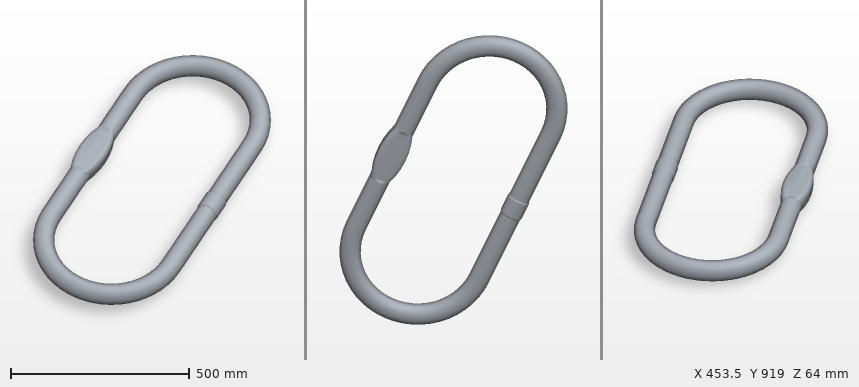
import cadquery as cq

loop_length = 919.0
loop_width = 440.0
tube_diameter = 60.0
tube_radius = tube_diameter / 2
bend_radius = (loop_width - tube_diameter) / 2
half_straight = (loop_length - loop_width) / 2

collar_diameter = 64.0
collar_length = 58.0
collar_taper_length = 4.0

grip_width = 83.0
grip_thickness = 52.0
grip_length = 167.0
grip_side_radius = 230.0
grip_edge_fillet = 14.0

flat_length = 153.0
flat_end_run = 8.0
flat_depth = tube_radius - grip_thickness / 2


def make_loop():
    """Sweep the round tube section along the stadium centreline."""
    path = (
        cq.Workplane("XY")
        .moveTo(bend_radius, -half_straight)
        .lineTo(bend_radius, half_straight)
        .threePointArc((0, half_straight + bend_radius), (-bend_radius, half_straight))
        .lineTo(-bend_radius, -half_straight)
        .threePointArc((0, -half_straight - bend_radius), (bend_radius, -half_straight))
        .close()
    )
    section = cq.Workplane("XZ", origin=(bend_radius, -half_straight, 0)).circle(tube_radius)
    return section.sweep(path)


def make_collar():
    """Raised ring with tapered ends that run down to the tube."""
    half_base = collar_length / 2
    half_crest = half_base - collar_taper_length
    outer_radius = collar_diameter / 2
    return (
        cq.Workplane("XY", origin=(bend_radius, 0, 0))
        .polyline(
            [
                (0, -half_base),
                (tube_radius, -half_base),
                (outer_radius, -half_crest),
                (outer_radius, half_crest),
                (tube_radius, half_base),
                (0, half_base),
            ]
        )
        .close()
        .revolve(360, (0, 0, 0), (0, 1, 0))
    )


def make_grip():
    """Flat block with bulging sides and rounded long edges."""
    half_width = grip_width / 2
    half_length = grip_length / 2
    bulge = grip_side_radius - (grip_side_radius**2 - half_length**2) ** 0.5
    end_half_width = half_width - bulge
    return (
        cq.Workplane("XY", origin=(-bend_radius, 0, -grip_thickness / 2))
        .moveTo(-end_half_width, -half_length)
        .lineTo(end_half_width, -half_length)
        .threePointArc((half_width, 0), (end_half_width, half_length))
        .lineTo(-end_half_width, half_length)
        .threePointArc((-half_width, 0), (-end_half_width, -half_length))
        .close()
        .extrude(grip_thickness)
        .edges("(<Z or >Z) and (not |X)")
        .fillet(grip_edge_fillet)
    )


def make_flat_cutter(side):
    """Cutter with sloping ends for the flat on the +Z (1) or -Z (-1) side."""
    floor = side * grip_thickness / 2
    crown = floor + side * flat_depth
    half_floor = flat_length / 2
    half_crown = half_floor + flat_end_run
    return (
        cq.Workplane("YZ", origin=(-bend_radius, 0, 0))
        .polyline([(-half_floor, floor), (half_floor, floor), (half_crown, crown), (-half_crown, crown)])
        .close()
        .extrude(tube_radius, both=True)
    )


result = make_loop()
for side in (1, -1):
    result = result.cut(make_flat_cutter(side))
result = result.union(make_collar()).union(make_grip())